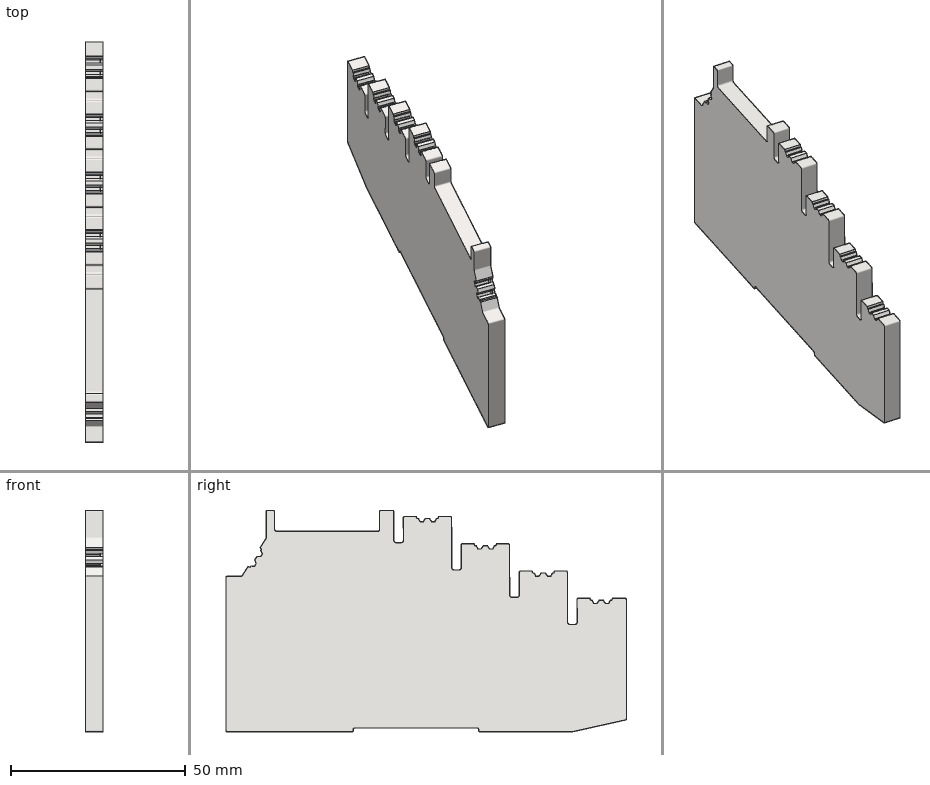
import cadquery as cq
import math

thickness = 5.1
length = 114.52
height = 63.35

step_count = 4
step_pitch = 16.56
step_rise = 7.8
first_block_start = 0.3
block_width = 13.88
first_block_top = 38.25
first_slot_floor = 30.75
wall_lean = math.radians(0.4)

rear_tower_end = 70.65
front_tower_start = 100.6
front_tower_end = 103.05
tower_recess_floor = 57.4

slope_top = 55.4
slope_tilt = math.radians(57.4)
ledge_top = 44.55

bevel_length = 15.5
bevel_height = 3.45
foot_recess_start = 42.3
foot_recess_end = 78.1
foot_recess_depth = 1.1

corner_radius = 0.4
block_radius = 0.5
slot_radius = 0.6

mouth_half = 3.2
ledge_outer_half = 3.0
ledge_inner_half = 2.6
neck_outer_half = 2.1
bulb_outer_half = 2.7
floor_outer_half = 2.4
bulb_inner_half = 1.0
neck_inner_half = 1.25
tooth_base_half = 1.0
tooth_top_half = 0.6
marker_ledge_depth = 0.6
tooth_base_depth = 1.2
neck_depth = 1.5
bulb_wide_depth = 1.9
marker_floor_depth = 2.55

end_wall_foot = 0.95
end_wall_tilt = math.radians(13.6)


def profile_plane(origin_y):
    """Plane on the +X face, facing -X; local x runs towards -Y from origin_y, local y is Z."""
    return cq.Plane(origin=(thickness / 2, origin_y, 0), xDir=(0, -1, 0), normal=(-1, 0, 0))


def rounded_outline(corners):
    """Closed wire through (position, z, radius) corners; a zero radius leaves the corner sharp."""
    outline = None
    count = len(corners)
    for i, (px, pz, radius) in enumerate(corners):
        corner = cq.Vector(px, pz)
        back = (cq.Vector(*corners[i - 1][:2]) - corner).normalized()
        ahead = (cq.Vector(*corners[(i + 1) % count][:2]) - corner).normalized()
        half_angle = back.getAngle(ahead) / 2
        setback = radius / math.tan(half_angle)
        start = corner + back * setback
        if outline is None:
            outline = cq.Workplane(profile_plane(length / 2)).moveTo(start.x, start.y)
        else:
            outline = outline.lineTo(start.x, start.y)
        if radius > 0:
            bisector = (back + ahead).normalized()
            middle = corner + bisector * (radius / math.sin(half_angle) - radius)
            end = corner + ahead * setback
            outline = outline.threePointArc((middle.x, middle.y), (end.x, end.y))
    return outline.close()


def block_start(index):
    return first_block_start + index * step_pitch


def block_top(index):
    return first_block_top + index * step_rise


def step_corners():
    """Corners of the blocks and slots, up to the foot of the rear tower."""
    corners = []
    for index in range(step_count):
        start = block_start(index)
        top = block_top(index)
        slot_floor = first_slot_floor + index * step_rise
        lean = (top - slot_floor) * math.tan(wall_lean)
        outer_start = start if index > 0 else 0
        block_end = start + block_width
        corners += [
            (outer_start, top, block_radius),
            (block_end, top, block_radius),
            (block_end - lean, slot_floor, slot_radius),
            (block_start(index + 1) - lean, slot_floor, slot_radius),
        ]
    return corners


def body():
    slope_run = (slope_top - ledge_top) / math.tan(slope_tilt)
    corners = step_corners() + [
        (block_start(step_count), height, corner_radius),
        (rear_tower_end, height, corner_radius),
        (rear_tower_end, tower_recess_floor, corner_radius),
        (front_tower_start, tower_recess_floor, slot_radius),
        (front_tower_start, height, corner_radius),
        (front_tower_end, height, corner_radius),
        (front_tower_end, slope_top, corner_radius),
        (front_tower_end + slope_run, ledge_top, corner_radius),
        (length, ledge_top, corner_radius),
        (length, 0, corner_radius),
        (foot_recess_end, 0, corner_radius),
        (foot_recess_end, foot_recess_depth, corner_radius),
        (foot_recess_start, foot_recess_depth, corner_radius),
        (foot_recess_start, 0, corner_radius),
        (bevel_length, 0, 0),
        (0, bevel_height, corner_radius),
    ]
    return rounded_outline(corners).extrude(thickness)


def marker_cutter(position, z, tilt):
    """Pair of undercut marker grooves centred on a face point; tilt leans the face towards -Y."""
    mouth = [
        (mouth_half, 0),
        (ledge_outer_half, -marker_ledge_depth),
        (ledge_inner_half, -marker_ledge_depth),
        (neck_outer_half, -neck_depth),
        (neck_inner_half, -neck_depth),
        (tooth_base_half, -tooth_base_depth),
        (tooth_top_half, -marker_ledge_depth),
    ]
    mirrored_mouth = [(-s, d) for s, d in reversed(mouth)]
    bulb = [
        (neck_outer_half, -neck_depth),
        (bulb_outer_half, -bulb_wide_depth),
        (floor_outer_half, -marker_floor_depth),
        (bulb_inner_half, -marker_floor_depth),
        (bulb_inner_half, -bulb_wide_depth),
        (neck_inner_half, -neck_depth),
    ]
    flat = profile_plane(0)
    cutter = cq.Workplane(flat).polyline(mouth + mirrored_mouth).close().extrude(thickness)
    for side in (1, -1):
        bulb_points = [(side * s, d) for s, d in bulb]
        cutter = cutter.union(cq.Workplane(flat).polyline(bulb_points).close().extrude(thickness))
    cutter = cutter.cut(end_wall())
    return cutter.rotate((0, 0, 0), (1, 0, 0), math.degrees(tilt)).translate((0, length / 2 - position, z))


def end_wall():
    """Drafted wall across the +X side that keeps the groove bulbs from breaking through."""
    draft_run = (marker_floor_depth - neck_depth) * math.tan(end_wall_tilt)
    return (
        cq.Workplane("XZ")
        .moveTo(thickness / 2, -marker_floor_depth)
        .lineTo(thickness / 2 - end_wall_foot, -marker_floor_depth)
        .lineTo(thickness / 2 - end_wall_foot + draft_run, -neck_depth)
        .lineTo(thickness / 2, -neck_depth)
        .close()
        .extrude(mouth_half, both=True)
    )


def build_part():
    part = body()
    for index in range(step_count):
        part = part.cut(marker_cutter(block_start(index) + block_width / 2, block_top(index), 0))
    slope_middle_z = (slope_top + ledge_top) / 2
    slope_middle = front_tower_end + (slope_top - slope_middle_z) / math.tan(slope_tilt)
    return part.cut(marker_cutter(slope_middle, slope_middle_z, slope_tilt))


result = build_part()